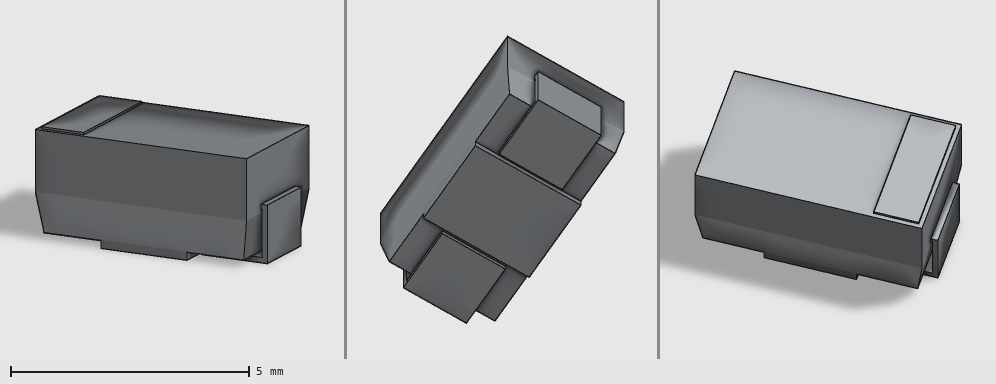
import cadquery as cq

overall_length = 5.28
overall_height = 2.49

lead_overhang = 0.15
case_length = overall_length - 2 * lead_overhang
case_width = 2.9
case_bottom = 0.18
case_shoulder = 1.08
taper_inset = 0.135
base_length = case_length - 2 * taper_inset
base_width = case_width - 2 * taper_inset

mark_thickness = 0.05
mark_margin = 0.1
mark_length = 0.99
mark_width = case_width - 2 * mark_margin
case_top = overall_height - mark_thickness

lead_thickness = 0.122
lead_width = 1.57
lead_height = 1.28
foot_length = 1.525

pad_gap = 0.1
pad_length = overall_length - 2 * (foot_length + pad_gap)


def make_case():
    """Straight upper block, tapered lower part and standoff pad, all one body."""
    upper = (
        cq.Workplane("XY")
        .workplane(offset=case_shoulder)
        .rect(case_length, case_width)
        .extrude(case_top - case_shoulder)
    )
    lower = (
        cq.Workplane("XY")
        .workplane(offset=case_bottom)
        .rect(base_length, base_width)
        .workplane(offset=case_shoulder - case_bottom)
        .rect(case_length, case_width)
        .loft(ruled=True)
    )
    pad = cq.Workplane("XY").rect(pad_length, base_width).extrude(case_bottom)
    return upper.union(lower).union(pad)


def make_polarity_mark():
    """Thin plate on the case top, beside the -X end."""
    mark_center_x = -case_length / 2 + mark_margin + mark_length / 2
    return (
        cq.Workplane("XY")
        .workplane(offset=case_top)
        .center(mark_center_x, 0)
        .rect(mark_length, mark_width)
        .extrude(mark_thickness)
    )


def make_lead(side):
    """C-shaped strip: foot, upright and a short top lip that meets the case end.

    side is -1 for the -X end and 1 for the +X end.
    """
    outer_x = side * overall_length / 2
    inner_x = outer_x - side * lead_thickness
    case_end_x = side * case_length / 2
    foot_tip_x = outer_x - side * foot_length
    profile = [
        (outer_x, 0),
        (foot_tip_x, 0),
        (foot_tip_x, lead_thickness),
        (inner_x, lead_thickness),
        (inner_x, lead_height - lead_thickness),
        (case_end_x, lead_height - lead_thickness),
        (case_end_x, lead_height),
        (outer_x, lead_height),
    ]
    return cq.Workplane("XZ").polyline(profile).close().extrude(lead_width / 2, both=True)


case = make_case()
polarity_mark = make_polarity_mark()
leads = [make_lead(side) for side in (-1, 1)]

result = cq.Compound.makeCompound(
    [case.solids().val(), polarity_mark.val(), *[lead.solids().val() for lead in leads]]
)